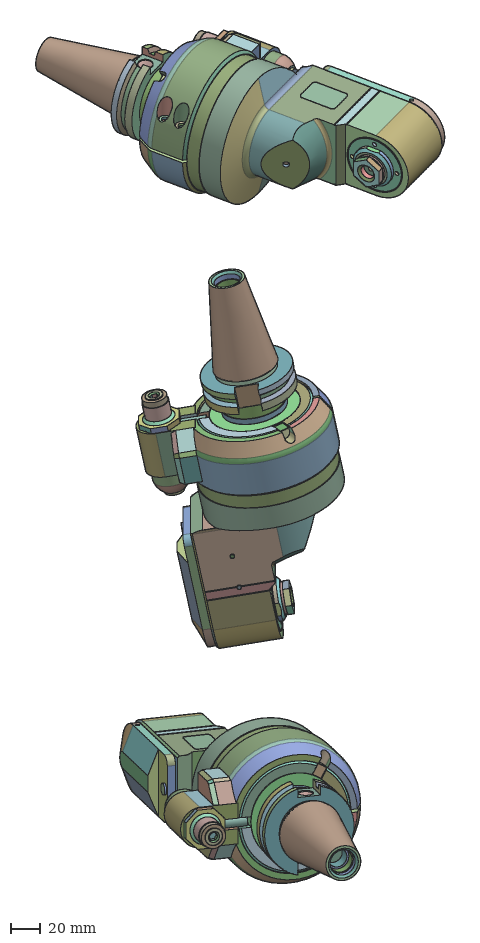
import cadquery as cq
import math

total_length = 278.5
ring_front_x = 101.7
ring_back_x = 141.8
ring_radius = 51.0
hub_radius = 39.8
hub_recess_radius = 31.2
cut_clearance = 2.8

taper_end_x = 68.0
taper_end_radius = 22.3
taper_slope = 7 / 48
taper_start_radius = taper_end_radius - taper_slope * taper_end_x
relief_radius = 21.5
flange_front_x = 71.5
flange_back_x = 88.0
flange_radius = 31.8
flange_groove_x = 79.0
flange_groove_floor_radius = 28.5
flange_groove_floor_width = 3.3
flange_groove_mouth_width = 6.5
neck_radius = 22.0
collar_front_x = 97.5
collar_radius = 22.5
journal_radius = 21.0
journal_end_x = 117.0
drive_slot_width = 16.2
drive_slot_floors = {1: 24.5, -1: 22.3}
drive_hole_diameter = 10.3
drive_hole_depth = 0.8
drill_tip_height = 3.0
bore_mouth_radius = 10.5
bore_radius = 9.0
bore_depth = 5.5
bore_thread_radius = 8.0
bore_thread_depth = 12.5
bore_floor_radius = 6.7
bore_floor_depth = 22.3

ring_face_radius = 44.3
ring_slope_end = (111.7, 49.9)
ring_blend_middle = (113.6, 50.7)
ring_blend_end_x = 115.5
ring_back_bevel = 2.0
slit_width = 2.2
radial_slot_width = 7.5
radial_slot_depth = 8.0
radial_slot_inner_radius = hub_recess_radius
key_inner_y = 33.5
key_outer_y = 51.3
key_angle = 0
open_slot_angles = (120, 240)
screw_positions_x = (119.5, 132.5)
screw_y = -40.7
screw_bore_diameter = 10.3
screw_bore_floor_z = 19.0
screw_head_diameter = 8.0
screw_head_top_z = 21.2
screw_socket_diameter = 4.5
screw_socket_depth = 2.0

arm_protrusion = 0.15
arm_front_x = ring_front_x - arm_protrusion
arm_back_x = 136.0
arm_bottom_y = 40.7
arm_top_y = 57.7
arm_half_width = 28.7
arm_shoulder_y = 54.0
arm_shoulder_half_width = 27.3
arm_top_draft = 21.0
arm_slope_end_x = 112.0
arm_blend_end_x = 115.3
holder_half_width = 14.5
holder_side_top_y = 67.7
holder_top_y = 81.3
pin_axis_y = 65.0
pin_body_radius = 13.0

drum_radius = 49.0
drum_step_x = 151.5
drum_front_radius = 48.5
hub_edge_bevel = 1.7
hub_recess_depth = 0.8
hub_slot_depth = 1.5
drum_end_x = 168.5
flare_end_x = 173.3
flare_end_radius = 28.7
neck_start_x = 177.0
head_half_width = 25.5
flare_blend_middle = (174.5, head_half_width + 1.0)
head_end_centre_x = total_length - head_half_width
head_top_y = 58.2
head_bevel = 1.5
block_bottom_y = 9.0
step_start_x = 224.2
step_end_x = 229.0
head_bottom_y = 13.6
boss_slope_start = (185.8, -26.0)
boss_slope_end = (213.5, -9.7)
boss_axis_x = 182.7
boss_root_radius = 38.5
boss_root_blend = 2.5
boss_taper_angle = 15.0
boss_taper = math.tan(math.radians(boss_taper_angle))

cover_inset = 1.7
cover_front_x = 180.5
cover_end_centre_x = 252.5
cover_corner_radius = 6.0
cover_top_y = 64.0
lid_front_x = 199.2
lid_top_y = 71.5
lid_slope_width = 18.0

spindle_x = 251.8
spindle_bore_radius = 7.8
nut_collar_radius = 15.0

pin_tip_x = 80.0
pin_step_x = 85.0
pin_tip_radius = 8.5
pin_tip_button_radius = 6.0
pin_tip_button_length = 0.8
pin_rod_radius = 9.2
pin_collar_front_x = 97.5
pin_collar_across_flats = 27.9
pin_collar_sides = 8
pin_collar_bevel = 2.0
pin_cap_shoulder_x = 144.5
pin_cap_middle = (149.5, 11.1)
pin_cap_end = (153.0, 8.4)
pin_button_radius = 7.0
pin_end_x = 155.5
pin_socket_diameter = 6.0
pin_countersink_radius = 4.0
pin_countersink_depth = 1.0
pin_socket_depth = 4.2
pin_socket_sides = 6

cover_button_diameter = 8.0
cover_button_x = 185.8
cover_button_height = 1.5
cover_hole_diameter = 2.6
cover_hole_y = 61.0
cover_hole_depth = 2.8
rivet_positions_x = (198.3, 222.8)
rivet_diameter = 3.0
rivet_height = 1.0
rivet_y = 33.5
shallow_depth = 0.3
label_x_range = (186.3, 214.0)
label_y_range = (22.8, 42.3)
label_corner_radius = 2.5
seam_groove_width = 0.5
seam_groove_positions_x = (222.8, 229.5)
face_ring_radius = 21.7
face_ring_width = 0.5
face_hole_diameter = 3.0
face_hole_circle_radius = 17.5
face_hole_depth = 2.2
face_hole_count = 4
slope_hole_x = 200.8
slope_hole_diameter = 4.5
slope_hole_depth = 2.8

spindle_seat_y = 27.9
collar_bottom_y = 11.0
nose_top_y = 7.2
shoulder_radius = 12.8
shoulder_y = 9.0
shoulder_step_radius = 11.1
nose_sides = 6
nose_across_flats = 20.0
nose_end_y = 2.8
nose_mouth_radius = 6.7
nose_bore_radius = 5.0
nose_bore_floor_y = 8.4
centre_hole_diameter = 3.0
centre_hole_depth = 2.8
collar_flat_distance = 14.2


def turned(points):
    """Solid of revolution about X from (x, radius) points."""
    return cq.Workplane("XY").polyline(points).close().revolve(360, (0, 0, 0), (1, 0, 0))


def turned_about_y(points, axis_x):
    """Solid of revolution about a line along Y from (radius, y) points."""
    outline = cq.Workplane("XY").polyline(points).close()
    return outline.revolve(360, (0, 0, 0), (0, 1, 0)).translate((axis_x, 0, 0))


def box(x_range, y_range, z_range):
    """Block between two corner planes on each axis."""
    sizes = [high - low for low, high in (x_range, y_range, z_range)]
    return cq.Workplane("XY").box(*sizes, centered=False).translate((x_range[0], y_range[0], z_range[0]))


def rod_along_y(diameter, x, z, y_low, y_high):
    rod = cq.Workplane("XZ").center(x, z).circle(diameter / 2).extrude(-(y_high - y_low))
    return rod.translate((0, y_low, 0))


def rod_along_z(diameter, x, y, z_low, z_high):
    return cq.Workplane("XY", origin=(x, y, z_low)).circle(diameter / 2).extrude(z_high - z_low)


def make_shank():
    mouth = flange_groove_mouth_width / 2
    floor = flange_groove_floor_width / 2
    body = turned([
        (0, 0),
        (0, taper_start_radius),
        (taper_end_x, taper_end_radius),
        (taper_end_x, relief_radius),
        (flange_front_x, relief_radius),
        (flange_front_x, flange_radius),
        (flange_groove_x - mouth, flange_radius),
        (flange_groove_x - floor, flange_groove_floor_radius),
        (flange_groove_x + floor, flange_groove_floor_radius),
        (flange_groove_x + mouth, flange_radius),
        (flange_back_x, flange_radius),
        (flange_back_x, neck_radius),
        (collar_front_x, neck_radius),
        (collar_front_x, collar_radius),
        (ring_front_x, collar_radius),
        (ring_front_x, journal_radius),
        (journal_end_x, journal_radius),
        (journal_end_x, 0),
    ])
    for side, floor_z in drive_slot_floors.items():
        z_range = sorted((side * floor_z, side * (flange_radius + cut_clearance)))
        half = drive_slot_width / 2
        body = body.cut(box((flange_front_x, flange_back_x), (-half, half), z_range))
    return body.cut(drive_hole()).cut(draw_bolt_bore())


def drive_hole():
    """Drilled hole with a conical tip in the floor of the upper drive slot."""
    top = drive_slot_floors[1]
    bottom = top - drive_hole_depth
    radius = drive_hole_diameter / 2
    profile = [(0, top), (radius, top), (radius, bottom), (0, bottom - drill_tip_height)]
    hole = cq.Workplane("XZ").polyline(profile).close().revolve(360, (0, 0, 0), (0, 1, 0))
    return hole.translate((flange_groove_x, 0, 0))


def draw_bolt_bore():
    return turned([
        (0, 0),
        (0, bore_mouth_radius),
        (bore_mouth_radius - bore_radius, bore_radius),
        (bore_depth, bore_radius),
        (bore_depth, bore_thread_radius),
        (bore_thread_depth, bore_thread_radius),
        (bore_thread_depth, bore_floor_radius),
        (bore_floor_depth, bore_floor_radius),
        (bore_floor_depth, 0),
    ])


def make_clamp_ring():
    outline = (
        cq.Workplane("XY")
        .moveTo(ring_front_x, hub_radius)
        .lineTo(ring_front_x, ring_face_radius)
        .lineTo(*ring_slope_end)
        .threePointArc(ring_blend_middle, (ring_blend_end_x, ring_radius))
        .lineTo(ring_back_x - ring_back_bevel, ring_radius)
        .lineTo(ring_back_x, ring_radius - ring_back_bevel)
        .lineTo(ring_back_x, hub_radius)
        .close()
    )
    ring = outline.revolve(360, (0, 0, 0), (1, 0, 0)).union(make_arm())
    ring = ring.cut(hub_envelope())
    ring = ring.cut(pin_bore())
    half = slit_width / 2
    slit_y_range = (-ring_radius - cut_clearance, -hub_radius + cut_clearance)
    ring = ring.cut(box((ring_front_x, ring_back_x), slit_y_range, (-half, half)))
    for angle in (key_angle, *open_slot_angles):
        ring = ring.cut(radial_slot(angle))
    ring = ring.union(key_rod())
    for x in screw_positions_x:
        ring = add_clamp_screw(ring, x)
    return ring


def hub_envelope():
    length = ring_back_x - ring_front_x
    return cq.Workplane("YZ", origin=(ring_front_x, 0, 0)).circle(hub_radius).extrude(length)


def foot_outline():
    """Outline of the arm's foot, narrowing towards the front to the width of the pin holder."""
    return (
        cq.Workplane("XZ")
        .polyline([
            (arm_front_x, -holder_half_width),
            (arm_slope_end_x, -arm_shoulder_half_width),
            (arm_blend_end_x, -arm_half_width),
            (arm_back_x, -arm_half_width),
            (arm_back_x, arm_half_width),
            (arm_blend_end_x, arm_half_width),
            (arm_slope_end_x, arm_shoulder_half_width),
            (arm_front_x, holder_half_width),
        ])
        .close()
    )


def make_arm():
    """Wedge-fronted foot with a drafted top, and the round-topped pin holder above it."""
    foot = foot_outline().extrude(arm_bottom_y - arm_shoulder_y).translate((0, arm_bottom_y, 0))
    top = foot_outline().extrude(arm_shoulder_y - arm_top_y, taper=arm_top_draft)
    top = top.translate((0, arm_shoulder_y, 0))
    holder = (
        cq.Workplane("YZ", origin=(arm_front_x, 0, 0))
        .moveTo(arm_bottom_y, -holder_half_width)
        .lineTo(holder_side_top_y, -holder_half_width)
        .threePointArc((holder_top_y, 0), (holder_side_top_y, holder_half_width))
        .lineTo(arm_bottom_y, holder_half_width)
        .close()
        .extrude(arm_back_x - arm_front_x)
    )
    return foot.union(top).union(holder)


def pin_bore():
    length = arm_back_x - arm_front_x
    return cq.Workplane("YZ", origin=(arm_front_x, pin_axis_y, 0)).circle(pin_body_radius).extrude(length)


def radial_slot(angle):
    """Round-bottomed slot across the front face, opening outwards at the given angle from +Y."""
    radius = radial_slot_width / 2
    floor_x = ring_front_x + radial_slot_depth
    slot = (
        cq.Workplane("XZ")
        .moveTo(arm_front_x, -radius)
        .lineTo(floor_x - radius, -radius)
        .threePointArc((floor_x, 0), (floor_x - radius, radius))
        .lineTo(arm_front_x, radius)
        .close()
        .extrude(-ring_radius)
        .cut(box((arm_front_x, floor_x), (0, radial_slot_inner_radius), (-radius, radius)))
    )
    return slot.rotate((0, 0, 0), (1, 0, 0), angle)


def key_rod():
    """Round key that lies at the bottom of the radial slot on the +Y side and reaches into the hub."""
    radius = radial_slot_width / 2
    axis_x = ring_front_x + radial_slot_depth - radius
    return rod_along_y(radial_slot_width, axis_x, 0, key_inner_y, key_outer_y)


def add_clamp_screw(ring, x):
    """Counterbore with the head of a socket screw at its bottom."""
    ring = ring.cut(rod_along_z(screw_bore_diameter, x, screw_y, screw_bore_floor_z, ring_radius))
    ring = ring.union(rod_along_z(screw_head_diameter, x, screw_y, screw_bore_floor_z, screw_head_top_z))
    socket_floor_z = screw_head_top_z - screw_socket_depth
    return ring.cut(rod_along_z(screw_socket_diameter, x, screw_y, socket_floor_z, screw_head_top_z))




def make_stop_pin():
    outline = (
        cq.Workplane("XY")
        .moveTo(pin_tip_x, 0)
        .lineTo(pin_tip_x, pin_tip_button_radius)
        .lineTo(pin_tip_x + pin_tip_button_length, pin_tip_button_radius)
        .lineTo(pin_tip_x + pin_tip_button_length, pin_tip_radius)
        .lineTo(pin_step_x, pin_tip_radius)
        .lineTo(pin_step_x, pin_rod_radius)
        .lineTo(pin_collar_front_x - pin_collar_bevel, pin_rod_radius)
        .lineTo(pin_collar_front_x, pin_rod_radius + pin_collar_bevel)
        .lineTo(arm_front_x, pin_rod_radius + pin_collar_bevel)
        .lineTo(arm_front_x, pin_body_radius)
        .lineTo(pin_cap_shoulder_x, pin_body_radius)
        .threePointArc(pin_cap_middle, pin_cap_end)
        .lineTo(pin_cap_end[0], pin_button_radius)
        .lineTo(pin_end_x, pin_button_radius)
        .lineTo(pin_end_x, 0)
        .close()
    )
    pin = outline.revolve(360, (0, 0, 0), (1, 0, 0))
    circumscribed = pin_collar_across_flats / math.cos(math.pi / pin_collar_sides)
    collar = (
        cq.Workplane("YZ", origin=(pin_collar_front_x, 0, 0))
        .polygon(pin_collar_sides, circumscribed)
        .extrude(arm_front_x - pin_collar_front_x)
        .rotate((0, 0, 0), (1, 0, 0), 180 / pin_collar_sides)
    )
    socket = cq.Workplane("YZ", origin=(pin_tip_x, 0, 0))
    socket = socket.polygon(pin_socket_sides, pin_socket_diameter).extrude(pin_socket_depth)
    countersink = turned([
        (pin_tip_x, 0),
        (pin_tip_x, pin_countersink_radius),
        (pin_tip_x + pin_countersink_depth, pin_countersink_radius - pin_countersink_depth),
        (pin_tip_x + pin_countersink_depth, 0),
    ])
    return pin.union(collar).cut(socket).cut(countersink).translate((0, pin_axis_y, 0))


def make_head():
    head = make_drum().union(make_flare()).union(make_neck()).union(make_block()).union(make_cover())
    head = head.cut(shank_bore()).cut(spindle_bore())
    head = head.cut(side_details()).cut(face_details()).cut(slope_hole())
    for x in rivet_positions_x:
        rivet_bottom_z = -head_half_width - rivet_height
        head = head.union(rod_along_z(rivet_diameter, x, rivet_y, rivet_bottom_z, -head_half_width))
    head = head.cut(radial_slot(key_angle))
    for angle in open_slot_angles:
        head = head.cut(hub_slot(angle))
    return head


def make_drum():
    return turned([
        (ring_front_x + hub_recess_depth, 0),
        (ring_front_x + hub_recess_depth, hub_recess_radius),
        (ring_front_x, hub_recess_radius),
        (ring_front_x, hub_radius - hub_edge_bevel),
        (ring_front_x + hub_edge_bevel, hub_radius),
        (ring_back_x, hub_radius),
        (ring_back_x, drum_front_radius),
        (drum_step_x, drum_front_radius),
        (drum_step_x, drum_radius),
        (drum_end_x, drum_radius),
        (drum_end_x, 0),
    ])


def hub_slot(angle):
    """Shallow flat slot across the hub's front face, in line with a radial slot of the ring."""
    half = radial_slot_width / 2
    x_range = (ring_front_x, ring_front_x + hub_slot_depth)
    slot = box(x_range, (hub_recess_radius, hub_radius), (-half, half))
    return slot.rotate((0, 0, 0), (1, 0, 0), angle)


def flare_half_outline():
    """Slope from the drum's edge that curves into the neck, drawn as x and distance from the middle."""
    return (
        cq.Workplane("XY")
        .moveTo(drum_end_x, 0)
        .lineTo(drum_end_x, drum_radius)
        .lineTo(flare_end_x, flare_end_radius)
        .threePointArc(flare_blend_middle, (neck_start_x, head_half_width))
        .lineTo(neck_start_x, 0)
        .close()
    )


def make_flare():
    """A cone on the -Y half, and two flat slopes that run up the block on the +Y half."""
    cone = flare_half_outline().revolve(360, (0, 0, 0), (1, 0, 0))
    slope = flare_half_outline().extrude(head_top_y - head_bevel).rotate((0, 0, 0), (1, 0, 0), 90)
    slope = slope.translate((0, head_top_y - head_bevel, 0))
    slopes = slope.union(slope.mirror("XY"))
    drum_outline = cq.Workplane("YZ", origin=(drum_end_x, 0, 0)).circle(drum_radius)
    limits = drum_outline.extrude(neck_start_x - drum_end_x).union(block_side(drum_radius))
    return cone.union(slopes.intersect(limits))


def make_neck():
    """Round neck, sloped underneath and ended by a cone about a line along Y."""
    length = step_start_x - drum_end_x
    width_range = (-head_half_width, head_half_width)
    neck = cq.Workplane("YZ", origin=(drum_end_x, 0, 0)).circle(head_half_width).extrude(length)
    neck = neck.union(box((drum_end_x, step_start_x), (0, block_bottom_y), width_range))
    slope_x, slope_y = boss_slope_start
    slope_rate = (boss_slope_end[1] - slope_y) / (boss_slope_end[0] - slope_x)
    slope_top_y = slope_y + slope_rate * (step_start_x - slope_x)
    below_slope = (
        cq.Workplane("XY")
        .polyline([boss_slope_start, (step_start_x, slope_top_y), (step_start_x, slope_y)])
        .close()
        .extrude(head_half_width, both=True)
    )
    blend_start_y = block_bottom_y - boss_root_blend
    blend_start_radius = boss_root_radius - boss_root_blend
    foot_radius = blend_start_radius - boss_taper * (blend_start_y + head_half_width)
    inset = (1 - math.sqrt(0.5)) * boss_root_blend
    cone = (
        cq.Workplane("XY")
        .moveTo(0, -head_half_width)
        .lineTo(foot_radius, -head_half_width)
        .lineTo(blend_start_radius, blend_start_y)
        .threePointArc(
            (blend_start_radius + inset, block_bottom_y - inset),
            (boss_root_radius, block_bottom_y),
        )
        .lineTo(boss_root_radius, head_half_width)
        .lineTo(0, head_half_width)
        .close()
        .revolve(360, (0, 0, 0), (0, 1, 0))
        .translate((boss_axis_x, 0, 0))
    )
    return neck.cut(below_slope).intersect(cone)


def block_side(half_width):
    """Stepped outline of the block with its leaning front end, as a slab of the given half width."""
    return (
        cq.Workplane("XY")
        .polyline([
            (flare_end_x, block_bottom_y),
            (step_start_x, block_bottom_y),
            (step_end_x, head_bottom_y),
            (total_length, head_bottom_y),
            (total_length, head_top_y),
            (neck_start_x, head_top_y),
            (flare_end_x, drum_radius),
        ])
        .close()
        .extrude(half_width, both=True)
    )


def make_block():
    """Flat-sided block with a round end, a stepped underside and a bevelled far edge."""
    plan = (
        cq.Workplane("XZ")
        .moveTo(drum_end_x, -head_half_width)
        .lineTo(head_end_centre_x, -head_half_width)
        .threePointArc((total_length, 0), (head_end_centre_x, head_half_width))
        .lineTo(drum_end_x, head_half_width)
        .close()
        .extrude(-head_top_y)
    )
    plan = plan.faces(">Y").chamfer(head_bevel)
    return plan.intersect(block_side(head_half_width))


def make_cover():
    half = head_half_width - cover_inset
    plate = box((cover_front_x, cover_end_centre_x), (head_top_y, cover_top_y), (-half, half))
    plate = plate.edges("|Y and <X").fillet(cover_corner_radius)
    lid_half = half - lid_slope_width
    lid = (
        cq.Workplane("YZ", origin=(lid_front_x, 0, 0))
        .polyline([(cover_top_y, -half), (lid_top_y, -lid_half), (lid_top_y, lid_half), (cover_top_y, half)])
        .close()
        .extrude(cover_end_centre_x - lid_front_x)
    )
    round_end = turned_about_y(
        [(0, head_top_y), (half, head_top_y), (half, cover_top_y), (lid_half, lid_top_y), (0, lid_top_y)],
        cover_end_centre_x,
    )
    button_top_y = cover_top_y + cover_button_height
    button = rod_along_y(cover_button_diameter, cover_button_x, 0, cover_top_y, button_top_y)
    hole = rod_along_z(cover_hole_diameter, spindle_x, cover_hole_y, half - cover_hole_depth, half)
    return plate.union(lid).union(round_end).union(button).cut(hole)


def shank_bore():
    length = journal_end_x - ring_front_x
    return cq.Workplane("YZ", origin=(ring_front_x, 0, 0)).circle(journal_radius).extrude(length)


def side_details():
    """Shallow label panel on the +Z side, and two shallow grooves across both sides."""
    panel = box(label_x_range, label_y_range, (head_half_width - shallow_depth, head_half_width))
    cutters = panel.edges("|Z").fillet(label_corner_radius)
    for x in seam_groove_positions_x:
        for side in (1, -1):
            z_range = sorted((side * (head_half_width - shallow_depth), side * head_half_width))
            half = seam_groove_width / 2
            cutters = cutters.union(box((x - half, x + half), (0, head_top_y - head_bevel), z_range))
    return cutters


def face_details():
    """Thin ring groove and four small holes around the output spindle."""
    ring = (
        cq.Workplane("XZ", origin=(spindle_x, head_bottom_y, 0))
        .circle(face_ring_radius)
        .circle(face_ring_radius - face_ring_width)
        .extrude(-face_ring_width)
    )
    holes = (
        cq.Workplane("XZ", origin=(spindle_x, head_bottom_y, 0))
        .polarArray(face_hole_circle_radius, 0, 360, face_hole_count)
        .circle(face_hole_diameter / 2)
        .extrude(-face_hole_depth)
    )
    return ring.union(holes)


def slope_hole():
    """Small hole square to the slope under the neck."""
    start_x, start_y = boss_slope_start
    run = boss_slope_end[0] - start_x
    rise = boss_slope_end[1] - start_y
    hole_y = start_y + rise / run * (slope_hole_x - start_x)
    inward = cq.Vector(-rise, run, 0).normalized()
    return cq.Workplane(cq.Solid.makeCylinder(
        slope_hole_diameter / 2, slope_hole_depth, cq.Vector(slope_hole_x, hole_y, 0), inward
    ))


def spindle_bore():
    return rod_along_y(2 * spindle_bore_radius, spindle_x, 0, head_bottom_y, spindle_seat_y)


def make_spindle():
    spindle = turned_about_y([
        (0, spindle_seat_y),
        (spindle_bore_radius, spindle_seat_y),
        (spindle_bore_radius, head_bottom_y),
        (nut_collar_radius, head_bottom_y),
        (nut_collar_radius, collar_bottom_y),
        (shoulder_radius, shoulder_y),
        (shoulder_step_radius, shoulder_y),
        (shoulder_step_radius, nose_top_y),
        (0, nose_top_y),
    ], spindle_x)
    nose = (
        cq.Workplane("XZ", origin=(spindle_x, nose_top_y, 0))
        .polygon(nose_sides, nose_across_flats / math.cos(math.pi / nose_sides))
        .extrude(nose_top_y - nose_end_y)
        .rotate((spindle_x, 0, 0), (spindle_x, 1, 0), 180 / nose_sides)
    )
    socket = turned_about_y([
        (0, nose_end_y),
        (nose_mouth_radius, nose_end_y),
        (nose_bore_radius, nose_end_y + nose_mouth_radius - nose_bore_radius),
        (nose_bore_radius, nose_bore_floor_y),
        (0, nose_bore_floor_y),
    ], spindle_x)
    flats = box(
        (spindle_x - nut_collar_radius, spindle_x + nut_collar_radius),
        (nose_end_y, spindle_seat_y),
        (-collar_flat_distance, collar_flat_distance),
    )
    hole_top_y = nose_bore_floor_y + centre_hole_depth
    hole = rod_along_y(centre_hole_diameter, spindle_x, 0, nose_bore_floor_y, hole_top_y)
    return spindle.intersect(flats).union(nose).cut(socket).cut(hole)


shank = make_shank()
clamp_ring = make_clamp_ring()
stop_pin = make_stop_pin()
head = make_head()
spindle = make_spindle()

result = cq.Compound.makeCompound([
    shank.val(),
    clamp_ring.val(),
    stop_pin.val(),
    head.val(),
    spindle.val(),
])